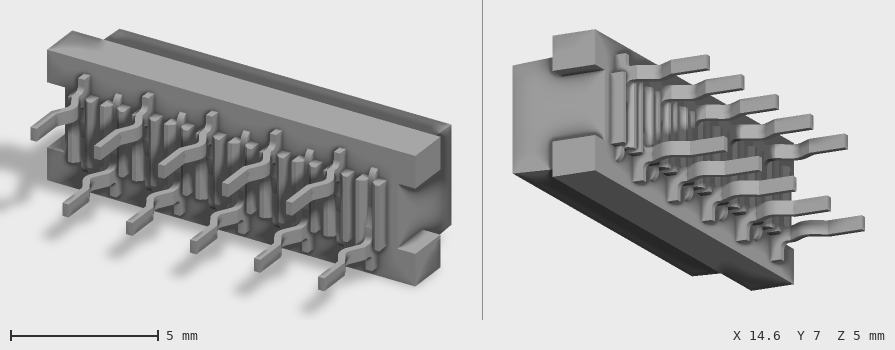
import cadquery as cq
import math


length = 14.63
height = 5.0
total_depth = 7.0
flange_depth = 1.62
end_notch_depth = 0.72
end_notch_height = 2.5
lead_reach = 3.48
plug_depth = total_depth - lead_reach - flange_depth
plug_length = length - 2 * end_notch_depth
plug_root_height = 4.01
plug_tip_height = 3.83

contact_count = 10
row_span = 11.43
pitch = row_span / (contact_count - 1)
contact_thickness = 0.25

rib_pair_width = 0.94
rib_height = end_notch_height
rib_reach = 0.5
rib_width = (rib_pair_width - contact_thickness) / 2
rib_chamfer_width = 0.18
rib_chamfer_depth = 0.15

blade_thick_reach = 0.4
blade_thin_reach = 0.22
blade_top = 2.0
slope_top = 0.37
slope_bottom = -0.34
toe_start = -1.43
toe_radius = 0.34
blade_root_depth = toe_radius - blade_thin_reach
lower_blade_shift = 0.15

lead_row_offset = 1.27
lead_height = 0.5
lead_fillet = 0.2
bend_start = 0.79
bend_peak = 1.48
bend_angle = math.radians(30)
bend_inner_radius = 0.32


def make_housing():
    """Flange with a notch at each end, and a plug that tapers toward +Y."""
    long_bar_height = (height - end_notch_height) / 2
    long_bar_offset = (height - long_bar_height) / 2
    long_bar = cq.Workplane("XY").box(length, flange_depth, long_bar_height, centered=(True, False, True))
    middle = cq.Workplane("XY").box(plug_length, flange_depth, height, centered=(True, False, True))
    flange = (
        middle
        .union(long_bar.translate((0, 0, long_bar_offset)))
        .union(long_bar.translate((0, 0, -long_bar_offset)))
    )
    plug_back = flange_depth + plug_depth
    plug = (
        cq.Workplane("YZ")
        .polyline([
            (flange_depth, -plug_root_height / 2),
            (plug_back, -plug_tip_height / 2),
            (plug_back, plug_tip_height / 2),
            (flange_depth, plug_root_height / 2),
        ])
        .close()
        .extrude(plug_length / 2, both=True)
    )
    return flange.union(plug)


def make_rib_pair():
    """Two upright ribs with chamfered lead-in edges facing the contact slot."""
    slot_side = contact_thickness / 2
    outer_side = slot_side + rib_width
    rib = (
        cq.Workplane("XY")
        .polyline([
            (slot_side, 0),
            (outer_side, 0),
            (outer_side, -rib_reach),
            (slot_side + rib_chamfer_width, -rib_reach),
            (slot_side, -rib_reach + rib_chamfer_depth),
        ])
        .close()
        .extrude(rib_height / 2, both=True)
    )
    return rib.union(rib.mirror("YZ"))


def make_blade(shift):
    """Upright blade with a filleted lead stub; a shift raises all of it but the stub."""
    lead_top = lead_row_offset + lead_height / 2
    lead_bottom = lead_row_offset - lead_height / 2
    thick_face = -blade_thick_reach
    thin_face = -blade_thin_reach
    stub_end = thick_face - lead_fillet
    toe_height = toe_start + shift
    return (
        cq.Workplane("YZ")
        .moveTo(blade_root_depth, blade_top + shift)
        .lineTo(thick_face, blade_top + shift)
        .lineTo(thick_face, lead_top + lead_fillet)
        .tangentArcPoint((stub_end, lead_top), relative=False)
        .lineTo(stub_end, lead_bottom)
        .radiusArc((thick_face, lead_bottom - lead_fillet), lead_fillet)
        .lineTo(thick_face, slope_top + shift)
        .lineTo(thin_face, slope_bottom + shift)
        .lineTo(thin_face, toe_height)
        .tangentArcPoint((blade_root_depth, toe_height - toe_radius), relative=False)
        .close()
        .extrude(contact_thickness / 2, both=True)
    )


def make_lead():
    """Flat lead whose kink swings toward +X and has a rounded crest."""
    half = contact_thickness / 2
    corner_shift = half * math.tan(bend_angle / 2)
    crest_height = (bend_peak - bend_start) * math.tan(bend_angle)
    crest_half = half / math.cos(bend_angle)
    bend_end = 2 * bend_peak - bend_start
    lead_root = -blade_thick_reach
    lead = (
        cq.Workplane("XY")
        .polyline([
            (-half, lead_root),
            (-half, -bend_start - corner_shift),
            (crest_height - crest_half, -bend_peak),
            (-half, -bend_end + corner_shift),
            (-half, -lead_reach),
            (half, -lead_reach),
            (half, -bend_end - corner_shift),
            (crest_height + crest_half, -bend_peak),
            (half, -bend_start + corner_shift),
            (half, lead_root),
        ])
        .close()
        .extrude(lead_height / 2, both=True)
    )
    inner_crest = cq.selectors.NearestToPointSelector((crest_height - crest_half, -bend_peak, 0))
    outer_crest = cq.selectors.NearestToPointSelector((crest_height + crest_half, -bend_peak, 0))
    lead = lead.edges(inner_crest).fillet(bend_inner_radius)
    lead = lead.edges(outer_crest).fillet(bend_inner_radius + contact_thickness)
    return lead.translate((0, 0, lead_row_offset))


upper_contact = make_blade(0).union(make_lead())
lower_contact = (
    make_blade(lower_blade_shift)
    .union(make_lead())
    .rotate((0, 0, 0), (0, 1, 0), 180)
)
rib_pair = make_rib_pair()

result = make_housing()
for index in range(contact_count):
    contact = upper_contact if index % 2 == 0 else lower_contact
    position = (index * pitch - row_span / 2, 0, 0)
    result = result.union(rib_pair.translate(position))
    result = result.union(contact.translate(position))